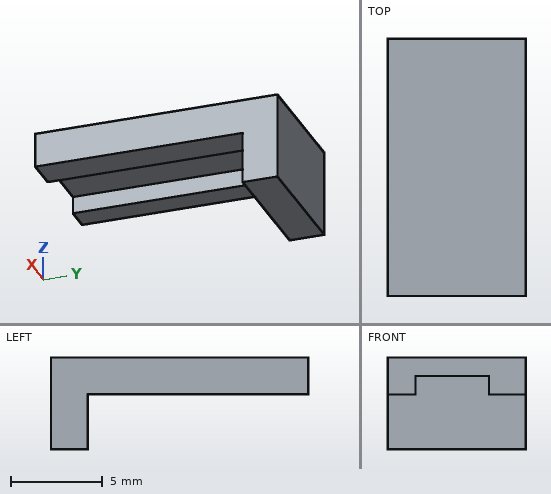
import cadquery as cq

width = 7.5
length = 14.0
height = 5.0

plate_thickness = 2.0
leg_thickness = 2.0

groove_width = 4.0
groove_depth = 1.0
groove_side_wall = 1.5

plate_length = length - leg_thickness
plate_underside = height - plate_thickness


def make_bracket():
    """L-shaped profile in the YZ plane, extruded across the width."""
    return (
        cq.Workplane("YZ")
        .moveTo(0, height)
        .lineTo(length, height)
        .lineTo(length, 0)
        .lineTo(plate_length, 0)
        .lineTo(plate_length, plate_underside)
        .lineTo(0, plate_underside)
        .close()
        .extrude(width)
    )


def make_groove():
    """Channel along the plate's underside, from the free end to the leg."""
    return cq.Workplane("XY").box(
        groove_width, plate_length, groove_depth, centered=False
    ).translate((groove_side_wall, 0, plate_underside))


result = make_bracket().cut(make_groove())